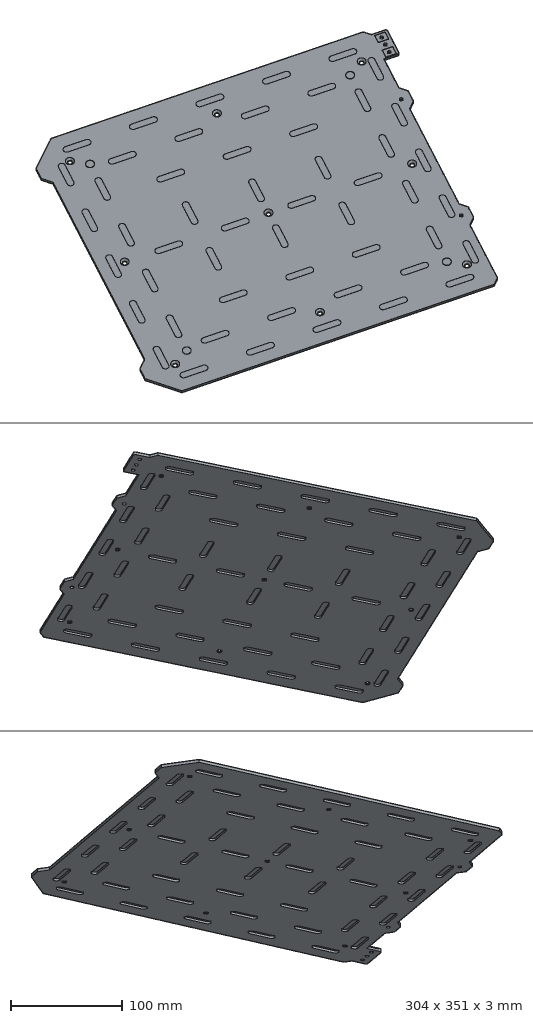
import cadquery as cq
width = 304.0
length = 351.0
thickness = 3.0
half_width = width / 2
half_length = length / 2

rear_edge_y = 160.5
front_edge_y = -167.5
rear_chamfer = 5.5
front_chamfer = 25.3
foot_width = 12.3

ear_x = 70.0
ear_base = 25.0
ear_height = 6.3
ear_hole_y = 157.2

tab_width = 29.0
tab_left_x = rear_chamfer - half_width
tab_right_x = tab_left_x + tab_width
tab_corner_radius = 1.8
tab_hole_count = 3
tab_hole_x = -131.3
tab_hole_y = 167.8
tab_hole_pitch = 8.8
small_hole_diameter = 3.2
seat_width = 8.5
seat_length = 10.2
seat_depth = 0.5

bed_y = -1.8
screw_hole_diameter = 4.2
screw_head_diameter = 8.0
countersink_angle = 90
middle_screw_x = 119.5
end_screw_y = 140.5
corner_screw_x = 122.0
corner_screw_y = 142.5

recess_diameter = 8.0
recess_depth = 0.5
recess_x = 112.3

skin = 0.77
slot_depth = thickness - skin
slot_length = 26.5
slot_width = 6.3
crosswise_pitch = 55.0
lengthwise_pitch = 65.0
outer_row_y = 151.3
inner_row_y = 127.0
side_column_x = 135.8
quarter_column_x = 107.7
inner_column_x = 72.5


def spread(count, pitch):
    """Evenly spaced positions centred on zero."""
    return [(i - (count - 1) / 2) * pitch for i in range(count)]


def mirrored(value):
    return [-value, value]


def grid(xs, ys):
    """All combinations of the given positions, with Y measured from the middle of the bed."""
    return [(x, bed_y + y) for x in xs for y in ys]


def flipped(points):
    """The mirror image of a run of points across X = 0, walked in the opposite direction."""
    return [(-x, y) for x, y in reversed(points)]


def make_plate():
    foot_outer_x = half_width - front_chamfer
    foot_inner_x = foot_outer_x - foot_width
    foot_height = front_edge_y + half_length
    front_side = [
        (foot_inner_x - foot_height, front_edge_y),
        (foot_inner_x, -half_length),
        (foot_outer_x, -half_length),
        (half_width, front_chamfer - half_length),
        (half_width, rear_edge_y - rear_chamfer),
    ]
    ear_base_half = ear_base / 2
    ear_top_half = ear_base_half - ear_height
    ear = [
        (ear_x + ear_base_half, rear_edge_y),
        (ear_x + ear_top_half, rear_edge_y + ear_height),
        (ear_x - ear_top_half, rear_edge_y + ear_height),
        (ear_x - ear_base_half, rear_edge_y),
    ]
    tab = [
        (tab_right_x, rear_edge_y),
        (tab_right_x, half_length),
        (tab_left_x, half_length),
        (tab_left_x, rear_edge_y),
    ]
    rear_right_corner = [(half_width - rear_chamfer, rear_edge_y)]
    outline = front_side + rear_right_corner + ear + flipped(ear) + tab + flipped(front_side)
    plate = cq.Workplane("XY").polyline(outline).close().extrude(thickness)
    return plate.edges("|Z and >Y").fillet(tab_corner_radius)


def top_plane():
    return cq.Workplane("XY", origin=(0, 0, thickness))


def cut_small_holes(plate):
    tab_holes = [(tab_hole_x + x, tab_hole_y) for x in spread(tab_hole_count, tab_hole_pitch)]
    ear_holes = [(x, ear_hole_y) for x in mirrored(ear_x)]
    drills = (
        cq.Workplane("XY")
        .pushPoints(tab_holes + ear_holes)
        .circle(small_hole_diameter / 2)
        .extrude(thickness)
    )
    seats = (
        top_plane()
        .pushPoints([tab_holes[0], tab_holes[-1]])
        .rect(seat_width, seat_length)
        .extrude(-seat_depth)
    )
    return plate.cut(drills).cut(seats)


def cut_round_recesses(plate):
    recesses = (
        top_plane()
        .pushPoints(grid(mirrored(recess_x), mirrored(inner_row_y)))
        .circle(recess_diameter / 2)
        .extrude(-recess_depth)
    )
    return plate.cut(recesses)


def cut_screw_holes(plate):
    screws = (
        grid(mirrored(middle_screw_x), [0])
        + grid([0], [-end_screw_y, 0, end_screw_y])
        + grid(mirrored(corner_screw_x), mirrored(corner_screw_y))
    )
    return (
        plate.faces(">Z")
        .workplane(origin=(0, 0, thickness))
        .pushPoints(screws)
        .cskHole(screw_hole_diameter, screw_head_diameter, countersink_angle)
    )


def slots(points, angle):
    return (
        cq.Workplane("XY")
        .pushPoints(points)
        .slot2D(slot_length, slot_width, angle)
        .extrude(slot_depth)
    )


def cut_slots(plate):
    crosswise = (
        grid(spread(5, crosswise_pitch), mirrored(outer_row_y))
        + grid(spread(4, crosswise_pitch), mirrored(inner_row_y))
        + grid(spread(2, crosswise_pitch), spread(3, lengthwise_pitch))
    )
    lengthwise = (
        grid(mirrored(side_column_x), spread(5, lengthwise_pitch))
        + grid([-quarter_column_x, 0, quarter_column_x], spread(4, lengthwise_pitch))
        + grid(mirrored(inner_column_x), spread(3, lengthwise_pitch))
    )
    return plate.cut(slots(crosswise, 0)).cut(slots(lengthwise, 90))


result = make_plate()
result = cut_small_holes(result)
result = cut_round_recesses(result)
result = cut_screw_holes(result)
result = cut_slots(result)